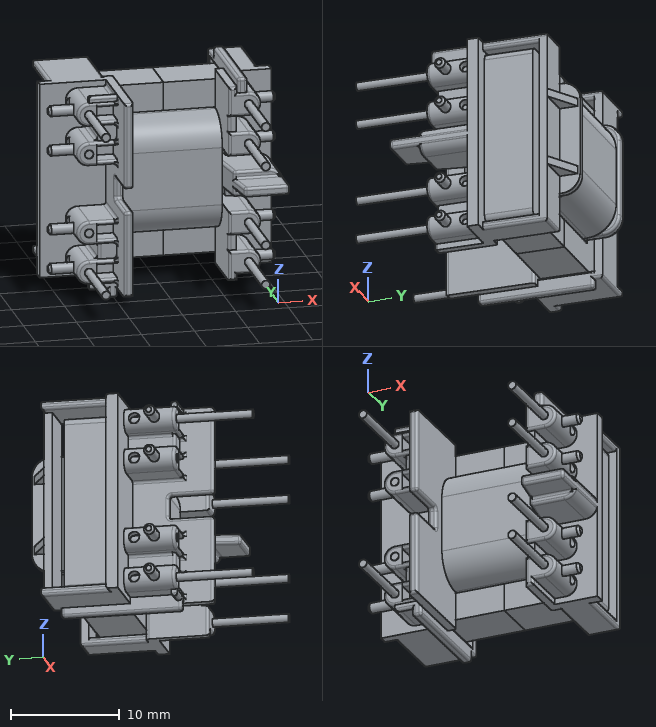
import cadquery as cq

CORE_HALF_X = 8.4
CORE_HALF_Y = 2.35
CORE_HALF_Z = 8.35
CORE_BACK = 2.45
CENTRE_LEG_HALF_Z = 2.35
CORE_CORNER_R = 0.63

TUBE_HALF = 2.75
WINDING_HALF = 5.64
WINDING_R = WINDING_HALF - TUBE_HALF
WINDING_HALF_X = 4.8
BORE_HALF_Y = 2.53
BORE_HALF_Z = 2.51

BODY_HALF_Z = 9.33
STEP_Y = -2.38
LEFT_FLANGE_X = -5.68
RIGHT_FLANGE_X = 5.62
LEFT_FLANGE_Y = -11.12
RIGHT_FLANGE_Y = -8.3
CAP_Y = 5.99
CAP_HALF_Z = 5.46
CAP_R = 1.75
EDGE_R = 0.26

BAR_FRONT_Y = -3.5
LEFT_BAR_X = -11.93
RIGHT_BAR_X = 9.92
LEFT_PLATE_X = -10.88
RIGHT_PLATE_X = 8.83
PLATE_THICK = 0.79
PLATE_BACK_Y = 3.98
LEFT_BACK_BAR_X = -9.65
RIGHT_BACK_BAR_X = RIGHT_PLATE_X
BACK_BAR_THICK = 0.8
GUSSET_X = 8.8
GUSSET_TOP_Y = 5.77
GUSSET_THICK = 0.76
GUSSET_Z = 3.36

BOSS_R = 1.14
BOSS_END_Y = RIGHT_FLANGE_Y
PIN_Z = (-7.6, -3.8, 3.8, 7.6)
LEFT_PIN_X = -8.35
RIGHT_PIN_X = 6.7
PIN_R = 0.8 / 2
OVERALL_Y = 21.43
PIN_END_Y = CAP_Y - OVERALL_Y
STUB_LENGTH = 0.05
PEG_R = 0.5
PEG_Y = -6.38
PEG_HOLE_Y = -4.48
LEFT_PEG_X = -11.8
RIGHT_PEG_X = 9.57
PEG_CHAMFER = 0.25
POCKET_X = -7.63
POCKET_HALF_Z = 0.68
POCKET_DEPTH = 1.75
POCKET_RIM_R = 0.22

WEB_X = -7.45
WEB_END_Y = -7.93
LIP_X = -8.35
LIP_SIZE = 0.57
RIB_THICK = 0.95
RIB_HALF_Z = 10.18
BOSS_TOP_Z = PIN_Z[3] + BOSS_R
LEFT_RIB_BACK_Y = 3.05
RIGHT_RIB_BACK_Y = 1.77

SLOT_HALF_Z = 1.11
SLOT_END_Y = -6.88
SLOT_CORNER_R = 0.28
GAP_HALF_Z = PIN_Z[2] - BOSS_R
KEY_R = 1.25
KEY_SLANT_Y = -5.18
KEY_TIP_X = 5.65
FIN_HALF_Z = 0.48
FIN_COVE_R = 0.22
FIN_COVE_X = (5.5, 9.61)


def block(x0, x1, y0, y1, z0, z1):
    """Box between two corners."""
    size = (abs(x1 - x0), abs(y1 - y0), abs(z1 - z0))
    centre = ((x0 + x1) / 2, (y0 + y1) / 2, (z0 + z1) / 2)
    return cq.Workplane("XY").box(*size).translate(centre)


def rod_x(x0, x1, y, z, radius):
    """Cylinder along X."""
    return cq.Workplane("YZ", origin=(x0, y, z)).circle(radius).extrude(x1 - x0)


def rod_y(x, y0, y1, z, radius):
    """Cylinder along Y."""
    return cq.Workplane("XZ", origin=(x, y0, z)).circle(radius).extrude(y0 - y1)


def rod_z(x, y, z0, z1, radius):
    """Cylinder along Z."""
    return cq.Workplane("XY", origin=(x, y, z0)).circle(radius).extrude(z1 - z0)


def core_half(side):
    """One E-shaped half; side is -1 for left and +1 for right."""
    body = block(0, side * CORE_HALF_X, -CORE_HALF_Y, CORE_HALF_Y, -CORE_HALF_Z, CORE_HALF_Z)
    body = body.faces("<X" if side < 0 else ">X").edges("|Y").fillet(CORE_CORNER_R)
    window_end = side * (CORE_HALF_X - CORE_BACK)
    for z_sign in (-1, 1):
        body = body.cut(
            block(0, window_end, -CORE_HALF_Y, CORE_HALF_Y,
                  z_sign * CENTRE_LEG_HALF_Z, z_sign * WINDING_HALF)
        )
    return body


def make_winding():
    """Square coil with rounded outer corners, filling the space between the flanges."""
    coil = block(-WINDING_HALF_X, WINDING_HALF_X, -WINDING_HALF, WINDING_HALF,
                 -WINDING_HALF, WINDING_HALF).edges("|X").fillet(WINDING_R)
    return coil.cut(block(-WINDING_HALF_X, WINDING_HALF_X, -TUBE_HALF, TUBE_HALF, -TUBE_HALF, TUBE_HALF))


def flange_cap(outer_x, inner_x):
    """Narrow flange part round the tube and behind it."""
    cap = block(outer_x, inner_x, -TUBE_HALF, CAP_Y, -CAP_HALF_Z, CAP_HALF_Z)
    cap = cap.faces(">Y").edges("|X").fillet(CAP_R)
    rim = cap.faces(">Y").edges(">X" if inner_x > outer_x else "<X")
    return rim.fillet(EDGE_R)


def left_flange():
    """Long flange with a central slot open at the front."""
    front = block(LEFT_FLANGE_X, -WINDING_HALF_X, LEFT_FLANGE_Y, STEP_Y, -BODY_HALF_Z, BODY_HALF_Z)
    slot = block(LEFT_FLANGE_X, -WINDING_HALF_X, LEFT_FLANGE_Y, SLOT_END_Y, -SLOT_HALF_Z, SLOT_HALF_Z)
    front = front.cut(slot.faces(">Y").edges("|X").fillet(SLOT_CORNER_R))
    front = front.edges("|Z and >X and >Y").fillet(EDGE_R)
    around_slot = cq.selectors.BoxSelector(
        (LEFT_FLANGE_X - EDGE_R, LEFT_FLANGE_Y + EDGE_R, -SLOT_HALF_Z - EDGE_R),
        (-WINDING_HALF_X + EDGE_R, SLOT_END_Y + EDGE_R, SLOT_HALF_Z + EDGE_R),
    )
    slot_rims = front.edges(around_slot).edges("not |X")
    front = front.faces("<Y").edges().add(slot_rims).fillet(EDGE_R)
    return front.union(flange_cap(LEFT_FLANGE_X, -WINDING_HALF_X))


def right_flange():
    """Short flange with its bosses, open in the middle and notched between each outer pair of bosses."""
    front = block(WINDING_HALF_X, RIGHT_FLANGE_X, RIGHT_FLANGE_Y, STEP_Y, -BODY_HALF_Z, BODY_HALF_Z)
    front = front.edges("|Z and <X and >Y").fillet(EDGE_R)
    front = front.cut(
        block(WINDING_HALF_X, RIGHT_FLANGE_X, RIGHT_FLANGE_Y, -TUBE_HALF, -GAP_HALF_Z, GAP_HALF_Z)
    )
    for z_sign in (-1, 1):
        front = front.cut(
            block(WINDING_HALF_X, RIGHT_FLANGE_X, RIGHT_FLANGE_Y, WEB_END_Y,
                  z_sign * (PIN_Z[2] + BOSS_R), z_sign * (PIN_Z[3] - BOSS_R))
        )
    for z in PIN_Z:
        front = front.union(boss(RIGHT_PIN_X, RIGHT_FLANGE_X, z))
    front = front.faces("<Y").edges().fillet(EDGE_R)
    notch_edges = cq.selectors.BoxSelector(
        (WINDING_HALF_X - EDGE_R, WEB_END_Y - EDGE_R / 2, -BODY_HALF_Z),
        (WINDING_HALF_X + EDGE_R / 2, WEB_END_Y + EDGE_R / 2, BODY_HALF_Z),
    )
    front = front.edges(notch_edges).edges("|Z").fillet(EDGE_R)
    return front.union(flange_cap(RIGHT_FLANGE_X, WINDING_HALF_X))


def left_cross_bar():
    """Bar across the left pin row, rounded along its back top and bottom edges."""
    bar = block(LEFT_BAR_X, LEFT_FLANGE_X, BAR_FRONT_Y, STEP_Y, -BODY_HALF_Z, BODY_HALF_Z)
    return bar.faces(">Y").edges("|X").fillet(EDGE_R)


def right_cross_bar():
    """Bar across the right pin row, rounded where it borders the central gap in the flange."""
    bar = block(RIGHT_FLANGE_X, RIGHT_BAR_X, BAR_FRONT_Y, STEP_Y, -BODY_HALF_Z, BODY_HALF_Z)
    round_x = RIGHT_FLANGE_X + EDGE_R
    round_y = BAR_FRONT_Y + EDGE_R
    corner = block(RIGHT_FLANGE_X, round_x, BAR_FRONT_Y, round_y, -GAP_HALF_Z, GAP_HALF_Z)
    return bar.cut(corner.cut(rod_z(round_x, round_y, -GAP_HALF_Z, GAP_HALF_Z, EDGE_R)))


def end_frame(cross_bar, flange_x, plate_x, back_bar_x, gusset_x):
    """Cross bar with two end plates, a back bar and two gussets behind it."""
    frame = cross_bar
    plate_z = BODY_HALF_Z - PLATE_THICK
    for z_sign in (-1, 1):
        plate = block(flange_x, plate_x, BAR_FRONT_Y, PLATE_BACK_Y, z_sign * plate_z, z_sign * BODY_HALF_Z)
        frame = frame.union(plate.edges("|Y or (|X and >Y)").fillet(EDGE_R))
    frame = frame.union(
        block(flange_x, back_bar_x, PLATE_BACK_Y - BACK_BAR_THICK, PLATE_BACK_Y,
              -plate_z - EDGE_R, plate_z + EDGE_R)
    )
    for z in (-GUSSET_Z, GUSSET_Z):
        gusset = (
            cq.Workplane("XY", origin=(0, 0, z - GUSSET_THICK / 2))
            .polyline([(flange_x, PLATE_BACK_Y), (gusset_x, PLATE_BACK_Y), (flange_x, GUSSET_TOP_Y)])
            .close()
            .extrude(GUSSET_THICK)
        )
        frame = frame.union(gusset)
    return frame


def boss(x, flange_x, z):
    """Sharp-edged boss with a round side, standing on the cross bar against the flange."""
    body = block(x, flange_x, BOSS_END_Y, BAR_FRONT_Y, z - BOSS_R, z + BOSS_R)
    return body.union(rod_y(x, BAR_FRONT_Y, BOSS_END_Y, z, BOSS_R))


def left_boss(z):
    """Boss rounded at its free end, except along the flange."""
    return boss(LEFT_PIN_X, LEFT_FLANGE_X, z).faces("<Y").edges("not >X").fillet(EDGE_R)


def boss_foot(z):
    """Concave rounding between a left boss and the left flange, along its sides and end."""
    cove_x = LEFT_FLANGE_X - EDGE_R
    cove_z = BOSS_R + EDGE_R
    end_y = BOSS_END_Y - EDGE_R
    foot = block(cove_x, LEFT_FLANGE_X, end_y, BAR_FRONT_Y, z - cove_z, z + cove_z)
    foot = foot.cut(rod_z(cove_x, end_y, z - cove_z, z + cove_z, EDGE_R))
    for z_sign in (-1, 1):
        foot = foot.cut(rod_y(cove_x, BAR_FRONT_Y, end_y, z + z_sign * cove_z, EDGE_R))
    return foot


def boss_pocket(z):
    """Cutter for the open pocket in a left boss, flared at its rim."""
    end_y = BOSS_END_Y - EDGE_R
    pocket = block(POCKET_X, LEFT_FLANGE_X, end_y, BOSS_END_Y + POCKET_DEPTH,
                   z - POCKET_HALF_Z, z + POCKET_HALF_Z)
    for z_sign in (-1, 1):
        round_z = z + z_sign * (POCKET_HALF_Z + POCKET_RIM_R)
        flare = block(POCKET_X, LEFT_FLANGE_X, end_y, BOSS_END_Y + POCKET_RIM_R,
                      z + z_sign * POCKET_HALF_Z, round_z)
        flare = flare.cut(
            rod_x(POCKET_X, LEFT_FLANGE_X, BOSS_END_Y + POCKET_RIM_R, round_z, POCKET_RIM_R)
        )
        pocket = pocket.union(flare)
    return pocket


def solder_pin(x, z, end_y):
    """Round pin running along -Y from the cross bar."""
    return rod_y(x, BAR_FRONT_Y, end_y, z, PIN_R)


def wire_peg(x, tip_x, z):
    """Sideways peg with a chamfered tip."""
    peg = rod_x(x, tip_x, PEG_Y, z, PEG_R)
    return peg.faces("<X" if tip_x < x else ">X").chamfer(PEG_CHAMFER)


def peg_hole(x, bar_x, z):
    """Cutter for the hole beside a peg, reaching the pin inside the boss."""
    return rod_x(x, bar_x, PEG_HOLE_Y, z, PEG_R)


def web_cove(side_z, z_sign):
    """Concave rounding between the outer face of a left web and the side of a boss."""
    cove_x = WEB_X - EDGE_R
    cove_z = side_z + z_sign * EDGE_R
    end_y = WEB_END_Y + EDGE_R
    cove = block(cove_x, WEB_X, end_y, BAR_FRONT_Y, side_z - z_sign * EDGE_R, cove_z)
    return cove.cut(rod_y(cove_x, BAR_FRONT_Y, end_y, cove_z, EDGE_R))


def left_web(z_sign):
    """Web joining an outer pair of left bosses, with concave roundings along both."""
    inner_z = z_sign * (PIN_Z[2] + BOSS_R)
    outer_z = z_sign * (PIN_Z[3] - BOSS_R)
    web = block(WEB_X, LEFT_FLANGE_X, WEB_END_Y, BAR_FRONT_Y, z_sign * PIN_Z[2], z_sign * PIN_Z[3])
    web = web.edges("|Z and <X and <Y").fillet(EDGE_R)
    return web.union(web_cove(inner_z, z_sign)).union(web_cove(outer_z, -z_sign))


def left_lip(z_sign):
    """Rounded wire guide on the outer side of a left end boss."""
    lip = block(LIP_X, LEFT_FLANGE_X, BOSS_END_Y, BOSS_END_Y + LIP_SIZE,
                z_sign * BOSS_TOP_Z, z_sign * BODY_HALF_Z)
    return lip.faces(">Z" if z_sign > 0 else "<Z").edges("|X or <X").fillet(EDGE_R)


def rib(flange_x, outward, back_y, z_sign):
    """Long rib on the outside of a flange, standing above the end plate."""
    body = block(flange_x, flange_x + outward * RIB_THICK, BOSS_END_Y, back_y,
                 z_sign * BOSS_TOP_Z, z_sign * RIB_HALF_Z)
    return body.edges("not <Z" if z_sign > 0 else "not >Z").fillet(EDGE_R)


def key_outline(end_x, end_y):
    """Key profile in X and Y, with its slanted inner face, out to end_x and down to end_y."""
    slope = (KEY_TIP_X - WINDING_HALF_X) / (KEY_SLANT_Y - LEFT_FLANGE_Y)
    inner_x = WINDING_HALF_X + slope * (KEY_SLANT_Y - end_y)
    return [
        (WINDING_HALF_X, -TUBE_HALF), (WINDING_HALF_X, KEY_SLANT_Y), (inner_x, end_y),
        (end_x, end_y), (end_x, -TUBE_HALF),
    ]


def key_slab(end_x, end_y, half_z):
    """Slab with the key profile, centred on Z = 0."""
    outline = cq.Workplane("XY", origin=(0, 0, -half_z)).polyline(key_outline(end_x, end_y)).close()
    return outline.extrude(2 * half_z)


def locating_key():
    """Round-ended key with a thin fin on its front."""
    centre_x = RIGHT_BAR_X - KEY_R
    base = key_slab(centre_x, BOSS_END_Y, KEY_R)
    base = base.union(rod_y(centre_x, -TUBE_HALF, BOSS_END_Y, 0, KEY_R))
    slant_edges = cq.selectors.BoxSelector(
        (WINDING_HALF_X, LEFT_FLANGE_Y + EDGE_R, -KEY_R - EDGE_R),
        (KEY_TIP_X, KEY_SLANT_Y - EDGE_R, KEY_R + EDGE_R),
    )
    slant_rims = base.edges(slant_edges).edges("not |Z")
    base = base.faces("<Y").edges().add(slant_rims).fillet(EDGE_R)

    fin = key_slab(RIGHT_BAR_X, LEFT_FLANGE_Y, FIN_HALF_Z)
    fin_rims = fin.edges(slant_edges)
    fin = fin.faces("<Y").edges().add(fin_rims).add(fin.edges("|Y and >X")).fillet(EDGE_R)

    cove_y = BOSS_END_Y - FIN_COVE_R
    cove_z = FIN_HALF_Z + FIN_COVE_R
    cove = block(*FIN_COVE_X, cove_y, BOSS_END_Y, -cove_z, cove_z)
    for z in (-cove_z, cove_z):
        cove = cove.cut(rod_x(*FIN_COVE_X, cove_y, z, FIN_COVE_R))
    return base.union(fin).union(cove)


def make_bobbin():
    """Tube, flanges, end frames, bosses and pins as one moulded body."""
    body = block(-WINDING_HALF_X, WINDING_HALF_X, -TUBE_HALF, TUBE_HALF, -TUBE_HALF, TUBE_HALF)
    body = body.union(left_flange()).union(right_flange())
    body = body.union(
        end_frame(left_cross_bar(), LEFT_FLANGE_X, LEFT_PLATE_X, LEFT_BACK_BAR_X, -GUSSET_X)
    )
    body = body.union(
        end_frame(right_cross_bar(), RIGHT_FLANGE_X, RIGHT_PLATE_X, RIGHT_BACK_BAR_X, GUSSET_X)
    )
    for z in PIN_Z:
        body = body.union(left_boss(z)).union(boss_foot(z))
    for z_sign in (-1, 1):
        body = body.union(left_web(z_sign)).union(left_lip(z_sign))
    body = body.union(rib(LEFT_FLANGE_X, -1, LEFT_RIB_BACK_Y, -1))
    body = body.union(rib(RIGHT_FLANGE_X, 1, RIGHT_RIB_BACK_Y, 1))
    body = body.union(locating_key())
    for z in PIN_Z:
        body = body.cut(boss_pocket(z))
        body = body.cut(peg_hole(LEFT_PIN_X, LEFT_BAR_X, z)).cut(peg_hole(RIGHT_PIN_X, RIGHT_BAR_X, z))
    for z in PIN_Z:
        left_end_y = PIN_END_Y if abs(z) == PIN_Z[3] else BOSS_END_Y - STUB_LENGTH
        body = body.union(solder_pin(LEFT_PIN_X, z, left_end_y)).union(solder_pin(RIGHT_PIN_X, z, PIN_END_Y))
        body = body.union(wire_peg(LEFT_PIN_X, LEFT_PEG_X, z)).union(wire_peg(RIGHT_PIN_X, RIGHT_PEG_X, z))
    bore = block(LEFT_FLANGE_X, RIGHT_FLANGE_X, -BORE_HALF_Y, BORE_HALF_Y, -BORE_HALF_Z, BORE_HALF_Z)
    return body.cut(bore)


bobbin = make_bobbin()
winding = make_winding()
core_halves = [core_half(side) for side in (-1, 1)]

result = cq.Compound.makeCompound([bobbin.val(), winding.val(), *[half.val() for half in core_halves]])